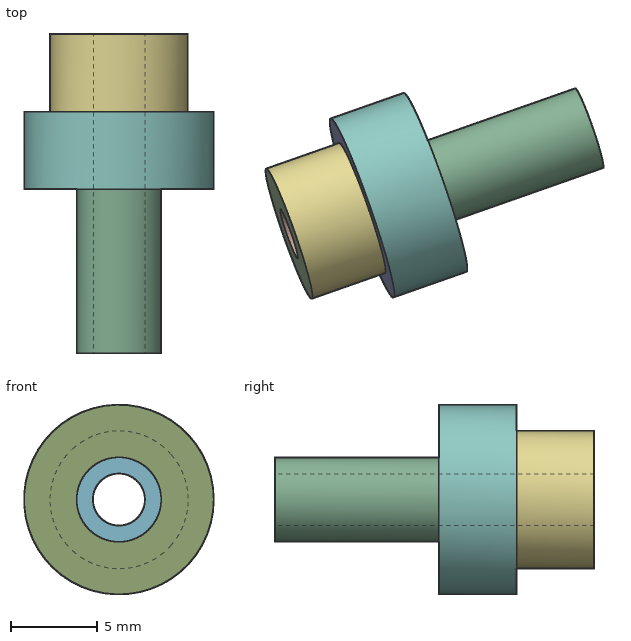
import cadquery as cq

stem_diameter = 4.9
flange_diameter = 11.0
rear_boss_diameter = 8.0
bore_diameter = 3.0

stem_length = 9.5
flange_length = 4.5
rear_boss_length = 4.5
total_length = stem_length + flange_length + rear_boss_length


def cylinder_along_y(diameter, start_y, length):
    """Solid cylinder on the Y axis, running from start_y toward +Y."""
    return cq.Workplane("XZ").workplane(offset=-start_y).circle(diameter / 2).extrude(-length)


flange_start = stem_length
rear_boss_start = flange_start + flange_length

stem = cylinder_along_y(stem_diameter, 0, stem_length)
flange = cylinder_along_y(flange_diameter, flange_start, flange_length)
rear_boss = cylinder_along_y(rear_boss_diameter, rear_boss_start, rear_boss_length)

bore = cylinder_along_y(bore_diameter, 0, total_length)

result = stem.union(flange).union(rear_boss).cut(bore)